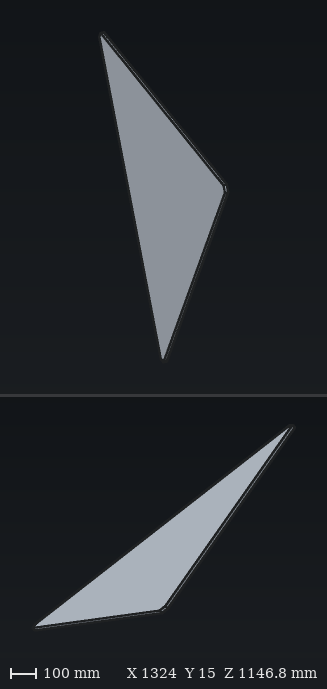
import cadquery as cq
import math

overall_width = 1324.0
overall_height = 1146.0
thickness = 15.0
tip_width = 30.0

half_tip = tip_width / 2
tip_angles = (30, 150, 270)

chord_distance = (overall_width / 2 - half_tip * math.sin(math.radians(30))) / math.cos(math.radians(30))
trim_radius = math.hypot(chord_distance, half_tip)

centre_z = trim_radius - overall_height / 2


def tip_point(angle, outward, sideways):
    """Point measured from the plate's centre along and across a tip's direction."""
    direction = math.radians(angle)
    x = outward * math.cos(direction) - sideways * math.sin(direction)
    z = outward * math.sin(direction) + sideways * math.cos(direction)
    return (x, centre_z + z)


profile = cq.Workplane("XZ").moveTo(*tip_point(tip_angles[0], chord_distance, -half_tip))
for angle in tip_angles:
    arc_start = tip_point(angle, chord_distance, -half_tip)
    arc_middle = tip_point(angle, trim_radius, 0)
    arc_end = tip_point(angle, chord_distance, half_tip)
    if angle != tip_angles[0]:
        profile = profile.lineTo(*arc_start)
    profile = profile.threePointArc(arc_middle, arc_end)

result = profile.close().extrude(thickness / 2, both=True)